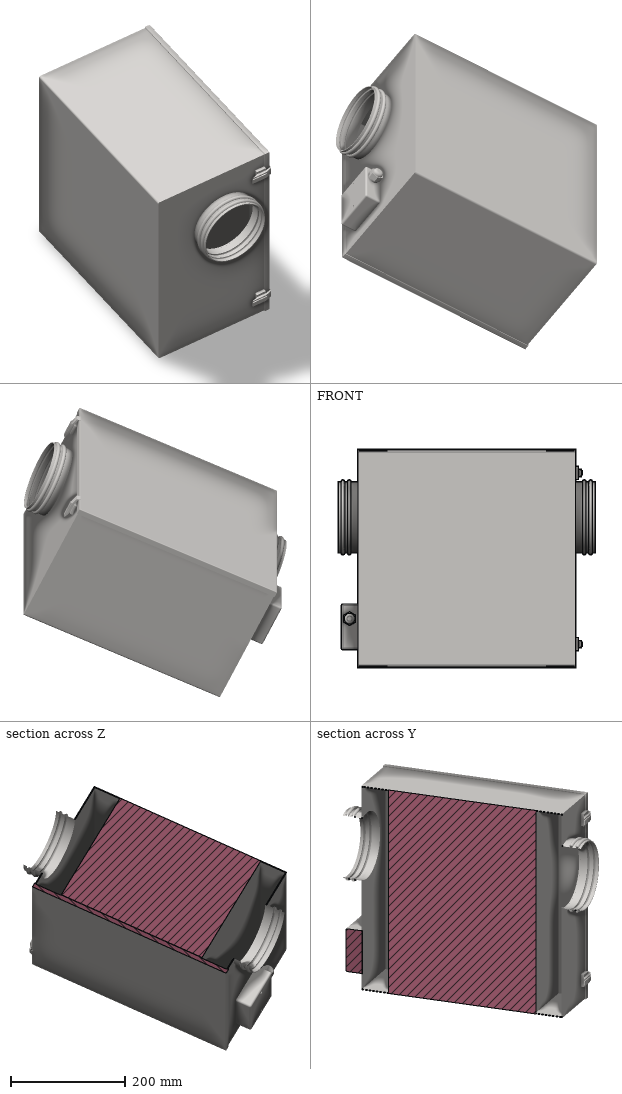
import cadquery as cq
import math

total_length = 450.0
sheet = 1.5

housing_width = 380.2
housing_front_y = -117.0
housing_fold_radius = 3.5
housing_wall = 2.2
chamber_end = 51.0

door_back_y = 115.5
door_plate = 8.5
door_depth = 10.5
door_corner_radius = 1.5

spigot_radius = 62.5
spigot_y = 21.0
spigot_z = 72.0
bead_radius = 3.38
bead_offsets = (8.0, 19.5)

box_width = 80.5
box_depth = 29.5
box_y = 35.5
box_z = -119.5
box_edge_radius = 3.0
screw_hole_radius = 2.5
screw_hole_depth = 1.5
screw_spacing = 60.8

gland_z = -105.5
collar_radius = 10.0
collar_length = 4.0
nut_corner_radius = 12.0
nut_length = 11.0
cap_radius = 9.5
cap_length = 6.0
cap_rounding = 5.0

latch_z = 150.0
latch_back_y = 117.0
base_width = 23.5
base_thickness = 6.0
base_back_y = 104.5
base_front_y = 86.0
lever_width = 13.5
lever_reach = 10.5
lever_shoulder_y = 102.5
lever_tip_y = 74.0
lever_bar = 5.0
lever_gap = 2.2
hook_lap = 1.5
rib_width = 8.0
rib_height = 2.0

housing_side_x = housing_width / 2
door_width = housing_width + 2 * sheet
door_side_x = door_width / 2
door_inner_y = door_back_y - door_plate
spigot_length = total_length / 2 - housing_side_x
spigot_bore_radius = spigot_radius - sheet


def block(x_range, y_range, z_range):
    """Axis-aligned box given by its limits."""
    size = [high - low for low, high in (x_range, y_range, z_range)]
    corner = (x_range[0], y_range[0], z_range[0])
    return cq.Workplane("XY").box(*size, centered=False).translate(corner)


def make_housing():
    half = housing_side_x
    body = block((-half, half), (housing_front_y, door_inner_y), (-half, half))
    body = body.edges("|X and <Y").fillet(housing_fold_radius)

    inner_half = half - housing_wall
    inner_y = (housing_front_y + housing_wall, door_inner_y)
    chamber = block((-inner_half, chamber_end - half), inner_y, (-inner_half, inner_half))
    body = body.cut(chamber).cut(chamber.mirror("YZ"))

    for side in (-1, 1):
        opening = cq.Solid.makeCylinder(
            spigot_bore_radius,
            housing_wall,
            cq.Vector(side * half, spigot_y, spigot_z),
            cq.Vector(-side, 0, 0),
        )
        body = body.cut(cq.Workplane(opening))
    return body


def make_door():
    half = door_side_x
    front_y = door_back_y - door_depth
    pan = block((-half, half), (front_y, door_back_y), (-half, half))
    pan = pan.edges(">Y").fillet(door_corner_radius)
    inner = housing_side_x
    return pan.cut(block((-inner, inner), (front_y, door_inner_y), (-inner, inner)))


def make_spigot(side):
    """Beaded tube on one side of the housing; side is -1 for -X and +1 for +X."""
    profile = cq.Workplane("XZ").moveTo(0, spigot_bore_radius).lineTo(0, spigot_radius)
    for offset in bead_offsets:
        profile = profile.lineTo(offset - bead_radius, spigot_radius)
        profile = profile.threePointArc(
            (offset, spigot_radius + bead_radius), (offset + bead_radius, spigot_radius)
        )
    profile = profile.lineTo(spigot_length, spigot_radius).lineTo(spigot_length, spigot_bore_radius)

    groove_radius = bead_radius - sheet
    for offset in reversed(bead_offsets):
        profile = profile.lineTo(offset + groove_radius, spigot_bore_radius)
        profile = profile.lineTo(offset + groove_radius, spigot_radius)
        profile = profile.threePointArc(
            (offset, spigot_radius + groove_radius), (offset - groove_radius, spigot_radius)
        )
        profile = profile.lineTo(offset - groove_radius, spigot_bore_radius)

    tube = profile.close().revolve(360, (0, 0, 0), (1, 0, 0))
    tube = tube.translate((-total_length / 2, spigot_y, spigot_z))
    return tube if side < 0 else tube.mirror("YZ")


def make_terminal_box():
    outer_x = -housing_side_x - box_depth
    body = (
        cq.Workplane("XY")
        .box(box_depth, box_width, box_width)
        .edges("not >X")
        .fillet(box_edge_radius)
        .translate((outer_x + box_depth / 2, box_y, box_z))
    )
    for direction in (-1, 1):
        hole = cq.Solid.makeCylinder(
            screw_hole_radius,
            screw_hole_depth,
            cq.Vector(outer_x, box_y, box_z + direction * screw_spacing / 2),
            cq.Vector(1, 0, 0),
        )
        body = body.cut(cq.Workplane(hole))
    return body


def make_cable_gland():
    face_y = box_y - box_width / 2
    centre_x = -housing_side_x - box_depth / 2
    mount = cq.Workplane("XZ", origin=(centre_x, face_y, gland_z))
    collar = mount.circle(collar_radius).extrude(collar_length)

    corners = [
        (nut_corner_radius * math.sin(k * math.pi / 3), nut_corner_radius * math.cos(k * math.pi / 3))
        for k in range(6)
    ]
    nut = mount.workplane(offset=collar_length).polyline(corners).close().extrude(nut_length)
    cap = mount.workplane(offset=collar_length + nut_length).circle(cap_radius).extrude(cap_length)
    cap = cap.faces("<Y").edges().fillet(cap_rounding)
    return collar.union(nut).union(cap)


def make_latch_base(z):
    return block(
        (housing_side_x, housing_side_x + base_thickness),
        (base_front_y, base_back_y),
        (z - base_width / 2, z + base_width / 2),
    )


def make_latch_lever(z):
    """Ribbed lever on the latch base whose far end hooks over the back of the door."""
    base_x = housing_side_x + base_thickness
    outer_x = housing_side_x + lever_reach
    outline = [
        (door_side_x - hook_lap, door_back_y),
        (door_side_x - hook_lap, latch_back_y),
        (door_side_x + lever_bar, latch_back_y - lever_gap),
        (outer_x, lever_shoulder_y),
        (outer_x, lever_tip_y),
        (base_x, base_front_y),
        (base_x, base_back_y),
        (door_side_x + lever_gap, door_back_y - lever_gap),
        (door_side_x + lever_gap, door_back_y),
    ]
    lever = cq.Workplane("XY").polyline(outline).close().extrude(lever_width)
    lever = lever.translate((0, 0, z - lever_width / 2))
    rib = block(
        (outer_x, outer_x + rib_height),
        (lever_tip_y, lever_shoulder_y),
        (z - rib_width / 2, z + rib_width / 2),
    )
    return lever.union(rib)


housing = make_housing()
door = make_door()
spigots = [make_spigot(side) for side in (-1, 1)]
terminal_box = make_terminal_box()
cable_gland = make_cable_gland()
latch_bases = [make_latch_base(z) for z in (-latch_z, latch_z)]
latch_levers = [make_latch_lever(z) for z in (-latch_z, latch_z)]

bodies = [housing, door, *spigots, terminal_box, cable_gland, *latch_bases, *latch_levers]
result = cq.Compound.makeCompound([body.solids().val() for body in bodies])